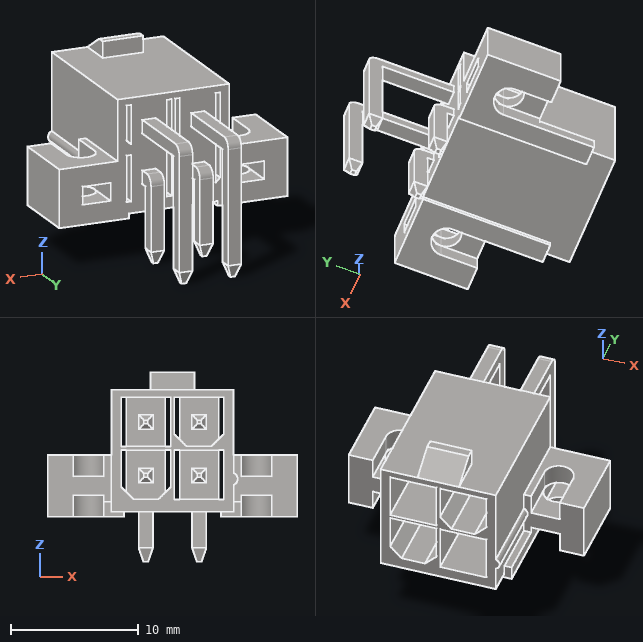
import cadquery as cq


housing_size = 9.59
housing_length = 12.8

cell_size = 3.85
cell_wall = 0.3
cell_floor_z = 0.98
cell_chamfer = 0.95
cell_depth = 9.98
cell_pitch = cell_size + cell_wall
core_width = 3.08

latch_width = 3.45
latch_height = 1.38
latch_length = 3.0
latch_flat = 0.72

key_radius = 0.5
key_height = 0.32
key_z = 2.58

ear_span = 19.6
ear_length = 6.2
ear_height = 4.87
standoff = 0.4
screw_diameter = 2.4
screw_setback = 3.1
web_bottom_z = 1.28
web_thickness = 1.5

rail_inner_x = 3.8
rail_outer_x = 5.4
rail_front_y = 2.04
rail_top_z = 0.78

screw_x = rail_outer_x + screw_diameter / 2

pin_pitch = 4.2
pin_width = 1.14
pin_z = 2.85
pin_front_y = 4.0
pin_front_taper = 1.2
pin_front_end = 0.3
pin_bend_radius = 0.8
leg_bottom_z = -3.93
leg_taper = 1.1
leg_end = 0.38
leg_reach_lower = 1.68
leg_reach_upper = 7.17

SIDES = (-1, 1)
ROWS = (0, 1)


def box(x0, x1, y0, y1, z0, z1):
    """Axis-aligned block between two corners."""
    return cq.Workplane("XY").box(x1 - x0, y1 - y0, z1 - z0, centered=False).translate((x0, y0, z0))


def pin_axis(side, row):
    """Axis position (x, z) of a pin's contact end."""
    return side * pin_pitch / 2, pin_z + row * pin_pitch


def cell(side, row):
    """Prism with a cell's section, running through the whole housing."""
    prism = (
        cq.Workplane("XZ")
        .center(side * cell_pitch / 2, cell_floor_z + cell_size / 2 + row * cell_pitch)
        .rect(cell_size, cell_size)
        .extrude(-housing_length)
    )
    keyed = (side < 0) == (row == 0)
    if keyed:
        prism = prism.edges("|Y and <Z").chamfer(cell_chamfer)
    return prism


def cell_cavity(side, row):
    """Cell with its end wall left as a core between two vent slots that run out through the back."""
    x = pin_axis(side, row)[0]
    core = box(x - core_width / 2, x + core_width / 2, cell_depth, housing_length, 0, housing_size)
    return cell(side, row).cut(core)


def make_pin(side, row):
    """Square right-angle pin with a tapered contact tip and a tapered solder tip."""
    x, z = pin_axis(side, row)
    half = pin_width / 2
    leg_back = housing_length + (leg_reach_upper if row else leg_reach_lower)
    arm = box(x - half, x + half, pin_front_y + pin_front_taper, leg_back, z - half, z + half)
    leg = box(x - half, x + half, leg_back - pin_width, leg_back, leg_bottom_z + leg_taper, z + half)
    bent = arm.union(leg).edges("|X and >Y and >Z").fillet(pin_bend_radius)
    contact_tip = (
        cq.Workplane("XZ", origin=(x, pin_front_y, z))
        .rect(pin_front_end, pin_front_end)
        .workplane(offset=-pin_front_taper)
        .rect(pin_width, pin_width)
        .loft(ruled=True)
    )
    solder_tip = (
        cq.Workplane("XY", origin=(x, leg_back - half, leg_bottom_z))
        .rect(leg_end, leg_end)
        .workplane(offset=leg_taper)
        .rect(pin_width, pin_width)
        .loft(ruled=True)
    )
    return bent.union(contact_tip).union(solder_tip)


def screw_slot(screw_y, open_y, z0, z1):
    """Round-ended screw slot that runs straight from the screw axis to open_y."""
    half = screw_diameter / 2
    hole = cq.Workplane("XY", origin=(screw_x, screw_y, z0)).circle(half).extrude(z1 - z0)
    channel = box(screw_x - half, screw_x + half, min(screw_y, open_y), max(screw_y, open_y), z0, z1)
    return hole.union(channel)


def make_ear(side):
    """Mounting ear with its open-fronted screw slot, and the rail below it, on one side."""
    wall_x = housing_size / 2
    ear_front_y = housing_length - ear_length
    screw_y = housing_length - screw_setback
    ear_top_z = ear_height - standoff
    ear = box(wall_x, ear_span / 2, ear_front_y, housing_length, -standoff, ear_top_z)
    rail = box(wall_x, rail_outer_x, rail_front_y, housing_length, -standoff, rail_top_z)
    foot = box(rail_inner_x, wall_x, rail_front_y, housing_length, -standoff, 0)
    web_top_z = web_bottom_z + web_thickness
    full_slot = screw_slot(screw_y, ear_front_y, -standoff, ear_top_z)
    front_part = screw_slot(screw_y, ear_front_y, web_bottom_z, web_top_z)
    back_part = screw_slot(screw_y, housing_length, web_bottom_z, web_top_z)
    ear = ear.cut(full_slot.cut(front_part).union(back_part)).union(rail).union(foot)
    return ear if side > 0 else ear.mirror("YZ")


def make_latch():
    """Latch ramp rising from the mating face."""
    return (
        cq.Workplane("YZ", origin=(-latch_width / 2, 0, housing_size))
        .polyline([(0, 0), (latch_length, 0), (latch_length, latch_height),
                   (latch_length - latch_flat, latch_height)])
        .close()
        .extrude(latch_width)
    )


def make_key():
    """Round rib sunk partly into the +X wall."""
    key_x = housing_size / 2 + key_height - key_radius
    return cq.Workplane("XZ").center(key_x, key_z).circle(key_radius).extrude(-housing_length)


def make_housing(pins):
    """Shell with its ears, latch and key, cut by the cells, vent slots and pin holes."""
    body = box(-housing_size / 2, housing_size / 2, 0, housing_length, 0, housing_size)
    body = body.union(make_key()).union(make_latch())
    for side in SIDES:
        body = body.union(make_ear(side))
    for side in SIDES:
        for row in ROWS:
            body = body.cut(cell_cavity(side, row))
    for pin in pins:
        body = body.cut(pin)
    return body


pins = [make_pin(side, row) for side in SIDES for row in ROWS]
housing = make_housing(pins)

result = cq.Compound.makeCompound([housing.val(), *[pin.val() for pin in pins]])